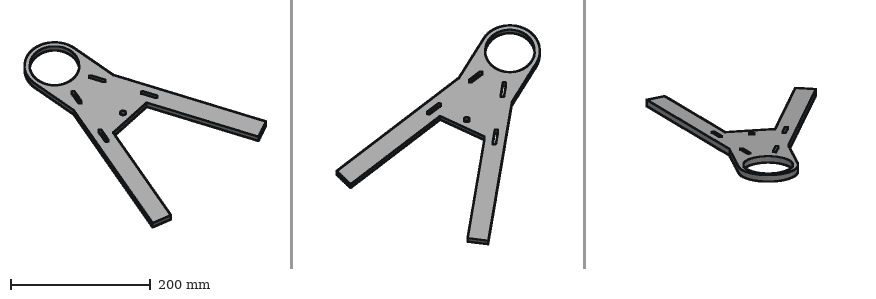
import cadquery as cq
import math

thickness = 10.0
bore_diameter = 71.0
ring_wall = 7.5
ring_radius = bore_diameter / 2 + ring_wall

arm_angle = 20.0
arm_width = 30.0
arm_reach = 319.25

web_end_x = 143.7

pivot_hole_diameter = 8.0
pivot_hole_x = 130.5

slot_width = 5.0
slot_center_spacing = 20.0
slot_length = slot_center_spacing + slot_width
slot_distances = (65.5, 145.5)


def arm_point(along, across):
    """XY point of the upper arm, from the distance along and to the left of its centreline."""
    angle = math.radians(arm_angle)
    x = along * math.cos(angle) - across * math.sin(angle)
    y = along * math.sin(angle) + across * math.cos(angle)
    return x, y


def mirrored(point):
    """The point reflected across the X axis."""
    return point[0], -point[1]


def plate():
    """Solid outline of the ring, web and arms, without holes."""
    half_width = arm_width / 2
    slope = math.tan(math.radians(arm_angle))
    edge_rise = half_width / math.cos(math.radians(arm_angle))

    tangent_point = (0.0, ring_radius)
    shoulder = ((ring_radius - edge_rise) / slope, ring_radius)
    outer_tip = arm_point(arm_reach, half_width)
    inner_tip = arm_point(arm_reach, -half_width)
    crotch = (web_end_x, web_end_x * slope - edge_rise)

    return (
        cq.Workplane("XY")
        .moveTo(*tangent_point)
        .lineTo(*shoulder)
        .lineTo(*outer_tip)
        .lineTo(*inner_tip)
        .lineTo(*crotch)
        .lineTo(*mirrored(crotch))
        .lineTo(*mirrored(inner_tip))
        .lineTo(*mirrored(outer_tip))
        .lineTo(*mirrored(shoulder))
        .lineTo(*mirrored(tangent_point))
        .threePointArc((-ring_radius, 0.0), tangent_point)
        .close()
        .extrude(thickness)
    )


def round_hole(diameter, x):
    """Cutter for a through hole centred on the X axis."""
    return cq.Workplane("XY").center(x, 0).circle(diameter / 2).extrude(thickness)


def arm_slots(angle):
    """Cutter for the through slots along one arm's centreline."""
    slot_centers = [(distance, 0) for distance in slot_distances]
    return (
        cq.Workplane("XY")
        .pushPoints(slot_centers)
        .slot2D(slot_length, slot_width)
        .extrude(thickness)
        .rotate((0, 0, 0), (0, 0, 1), angle)
    )


result = plate()
result = result.cut(round_hole(bore_diameter, 0))
result = result.cut(round_hole(pivot_hole_diameter, pivot_hole_x))
for angle in (arm_angle, -arm_angle):
    result = result.cut(arm_slots(angle))